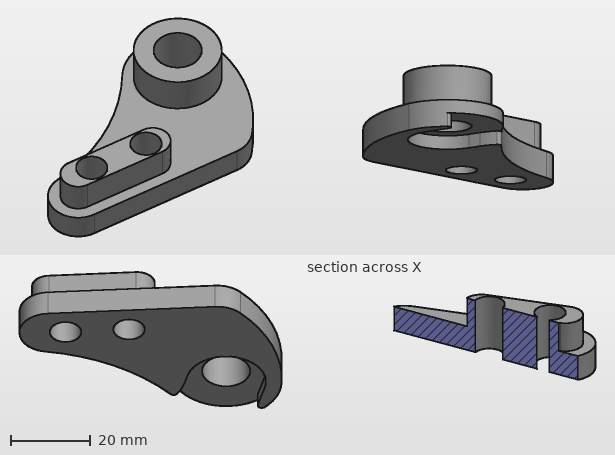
import cadquery as cq
import math

PLATE_TOP = 6.9
BOSS_TOP = 16.51
PAD_TOP = 14.9
RECESS_DEPTH = 3.5

PIVOT = (0.0, 0.0)
LOBE_RADIUS = 13.97
BOSS_RADIUS = 11.1
BORE_RADIUS = 6.05

FOOT = (31.28, -36.97)
FOOT_RADIUS = 7.62
ARM_ANGLE = math.radians(102.85)
PAD_LENGTH = 22.0
PAD_RADIUS = 4.49
PIN_HOLE_RADIUS = 3.95
PIN_HOLE_OFFSETS = (4.0, 20.0)

CROWN_RADIUS = 38.1
CROWN_PEAK_Y = 15.29
SHOULDER_RADIUS = 8.0
WAIST_RADIUS = 50.8

RECESS_RADIUS = 10.0
MOUTH_ANGLE = math.radians(211)
LOWER_WALL_LENGTH = 3.2
FLARE_RADIUS = 14.0
LIP_RADIUS = 1.0
MOUTH_CLEARANCE = 10.0


def along(start, direction, distance):
    """Point at a distance from start in a direction given in radians."""
    return (
        start[0] + distance * math.cos(direction),
        start[1] + distance * math.sin(direction),
    )


def heading(start, end):
    """Direction from start to end in radians."""
    return math.atan2(end[1] - start[1], end[0] - start[0])


def toward(start, end, distance):
    """Point at a distance from start on the way to end."""
    return along(start, heading(start, end), distance)


def mid_arc(centre, start, end):
    """Middle of the shorter arc from start to end about centre."""
    chord_middle = ((start[0] + end[0]) / 2, (start[1] + end[1]) / 2)
    return toward(centre, chord_middle, math.dist(centre, start))


def circle_meeting(centre_a, radius_a, centre_b, radius_b):
    """Crossing of two circles that lies to the left when looking from a to b."""
    gap = math.dist(centre_a, centre_b)
    cosine = (radius_a**2 + gap**2 - radius_b**2) / (2 * radius_a * gap)
    return along(centre_a, heading(centre_a, centre_b) + math.acos(cosine), radius_a)


CROWN_Y = CROWN_PEAK_Y - CROWN_RADIUS
CROWN = (math.sqrt((CROWN_RADIUS - LOBE_RADIUS) ** 2 - CROWN_Y**2), CROWN_Y)
WAIST = circle_meeting(FOOT, FOOT_RADIUS + WAIST_RADIUS, PIVOT, LOBE_RADIUS + WAIST_RADIUS)


def plate():
    edge_normal = ARM_ANGLE - math.pi / 2
    edge_start = along(FOOT, edge_normal, FOOT_RADIUS)

    shoulder_line = along(edge_start, edge_normal, -SHOULDER_RADIUS)
    offset_angle = heading(CROWN, shoulder_line) - ARM_ANGLE
    offset_length = math.dist(CROWN, shoulder_line)
    across = offset_length * math.sin(offset_angle)
    reach = math.sqrt((CROWN_RADIUS - SHOULDER_RADIUS) ** 2 - across**2)
    shoulder = along(shoulder_line, ARM_ANGLE, reach - offset_length * math.cos(offset_angle))

    edge_end = along(shoulder, edge_normal, SHOULDER_RADIUS)
    crown_start = toward(CROWN, shoulder, CROWN_RADIUS)
    crown_end = toward(CROWN, PIVOT, CROWN_RADIUS)
    waist_start = toward(PIVOT, WAIST, LOBE_RADIUS)
    waist_end = toward(FOOT, WAIST, FOOT_RADIUS)
    return (
        cq.Workplane("XY")
        .moveTo(*edge_start)
        .lineTo(*edge_end)
        .threePointArc(mid_arc(shoulder, edge_end, crown_start), crown_start)
        .threePointArc(mid_arc(CROWN, crown_start, crown_end), crown_end)
        .threePointArc((-LOBE_RADIUS, 0), waist_start)
        .threePointArc(mid_arc(WAIST, waist_start, waist_end), waist_end)
        .threePointArc(along(FOOT, -math.pi / 2, FOOT_RADIUS), edge_start)
        .close()
        .extrude(PLATE_TOP)
    )


def boss():
    return cq.Workplane("XY").circle(BOSS_RADIUS).extrude(BOSS_TOP)


def pad():
    centre = along(FOOT, ARM_ANGLE, PAD_LENGTH / 2)
    return (
        cq.Workplane("XY")
        .center(*centre)
        .slot2D(PAD_LENGTH + 2 * PAD_RADIUS, 2 * PAD_RADIUS, math.degrees(ARM_ANGLE))
        .extrude(PAD_TOP)
    )


def bore():
    return cq.Workplane("XY").circle(BORE_RADIUS).extrude(BOSS_TOP)


def pin_holes():
    centres = [along(FOOT, ARM_ANGLE, offset) for offset in PIN_HOLE_OFFSETS]
    return cq.Workplane("XY").pushPoints(centres).circle(PIN_HOLE_RADIUS).extrude(PAD_TOP)


def recess():
    """Round pocket about the bore with a mouth whose two walls leave it tangentially."""
    upper_side = MOUTH_ANGLE - math.pi / 2
    lower_side = MOUTH_ANGLE + math.pi / 2
    upper_tangent = along(PIVOT, upper_side, RECESS_RADIUS)
    lower_tangent = along(PIVOT, lower_side, RECESS_RADIUS)

    lip_reach = LOBE_RADIUS - LIP_RADIUS
    lip_angle = upper_side + math.acos((RECESS_RADIUS + LIP_RADIUS) / lip_reach)
    upper_lip = along(PIVOT, lip_angle, lip_reach)
    upper_exit = along(PIVOT, lip_angle, LOBE_RADIUS)
    upper_wall_end = along(upper_lip, upper_side, -LIP_RADIUS)

    lower_wall_end = along(lower_tangent, MOUTH_ANGLE, LOWER_WALL_LENGTH)
    flare = along(lower_wall_end, lower_side, FLARE_RADIUS)
    lower_lip = circle_meeting(WAIST, WAIST_RADIUS + LIP_RADIUS, flare, FLARE_RADIUS - LIP_RADIUS)
    flare_end = toward(flare, lower_lip, FLARE_RADIUS)
    lower_exit = toward(WAIST, lower_lip, WAIST_RADIUS)

    return (
        cq.Workplane("XY")
        .moveTo(*upper_exit)
        .threePointArc(mid_arc(upper_lip, upper_exit, upper_wall_end), upper_wall_end)
        .lineTo(*upper_tangent)
        .threePointArc(along(PIVOT, MOUTH_ANGLE, -RECESS_RADIUS), lower_tangent)
        .lineTo(*lower_wall_end)
        .threePointArc(mid_arc(flare, lower_wall_end, flare_end), flare_end)
        .threePointArc(mid_arc(lower_lip, flare_end, lower_exit), lower_exit)
        .lineTo(*toward(lower_exit, WAIST, MOUTH_CLEARANCE))
        .lineTo(*along(PIVOT, MOUTH_ANGLE, LOBE_RADIUS + MOUTH_CLEARANCE))
        .lineTo(*along(upper_exit, lip_angle, MOUTH_CLEARANCE))
        .close()
        .extrude(RECESS_DEPTH)
    )


result = plate().union(boss()).union(pad()).cut(bore()).cut(pin_holes()).cut(recess())